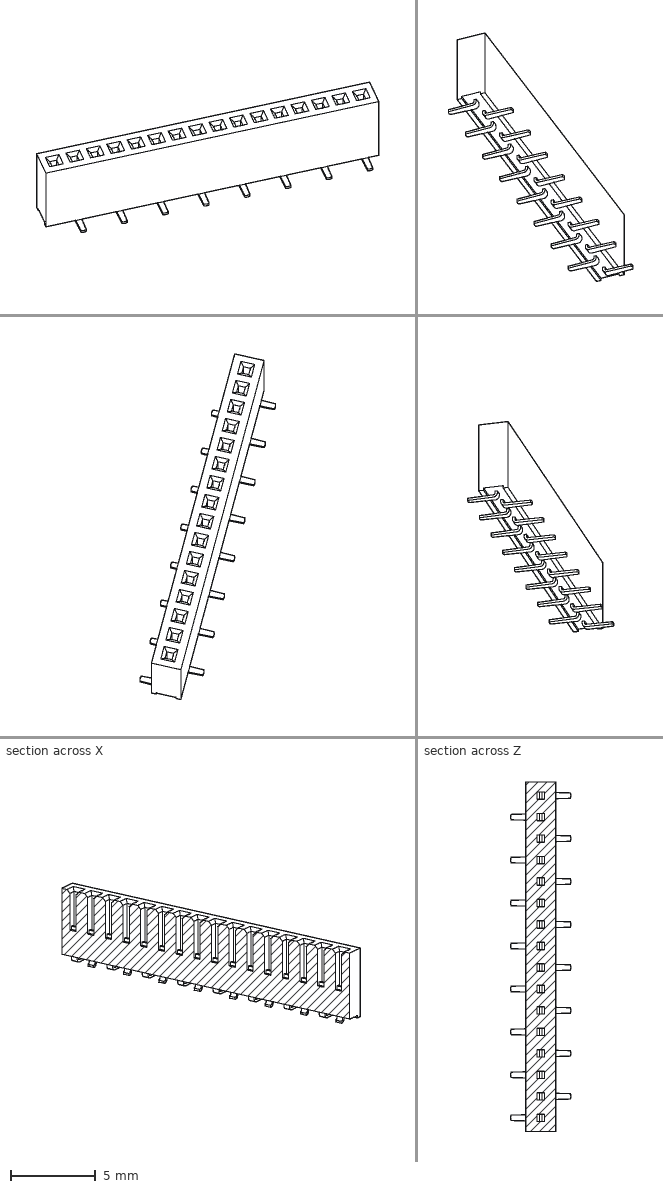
import cadquery as cq
import math

PITCH = 1.27
PIN_COUNT = 16
BODY_WIDTH = 1.8
BODY_LENGTH = 20.67
BODY_HEIGHT = 4.3
BODY_BOTTOM = 0.23

CHANNEL_WIDTH = 1.2
CHANNEL_DEPTH = 0.15

FUNNEL_MOUTH = 0.84
HOLE_SIZE = FUNNEL_MOUTH / 2
FUNNEL_DEPTH = (FUNNEL_MOUTH - HOLE_SIZE) / 2
SOCKET_DEPTH = 2.5

LEAD_SPAN = 3.58
CONTACT_THICKNESS = 0.15
POST_WIDTH = HOLE_SIZE
POST_RISE = 0.2
BEND_OUTER_RADIUS = 0.25
TIP_WIDTH = 0.335
TIP_RADIUS = TIP_WIDTH

BODY_TOP = BODY_BOTTOM + BODY_HEIGHT
SOCKET_FLOOR = BODY_TOP - SOCKET_DEPTH


def upright_box(width, length, height, bottom):
    """Box centred on the Z axis and standing on the height `bottom`."""
    base = cq.Workplane("XY", origin=(0, 0, bottom))
    return base.box(width, length, height, centered=(True, True, False))


def make_housing():
    body = upright_box(BODY_WIDTH, BODY_LENGTH, BODY_HEIGHT, BODY_BOTTOM)
    channel = upright_box(CHANNEL_WIDTH, BODY_LENGTH, CHANNEL_DEPTH, BODY_BOTTOM)
    return body.cut(channel)


def make_socket():
    """Void of one socket, centred on the Z axis."""
    funnel = (
        cq.Workplane("XY", origin=(0, 0, BODY_TOP))
        .rect(FUNNEL_MOUTH, FUNNEL_MOUTH)
        .workplane(offset=-FUNNEL_DEPTH)
        .rect(HOLE_SIZE, HOLE_SIZE)
        .loft(ruled=True)
    )
    hole = upright_box(HOLE_SIZE, HOLE_SIZE, SOCKET_DEPTH - FUNNEL_DEPTH, SOCKET_FLOOR)
    return funnel.union(hole)


def make_contact():
    """Contact with its post on the Z axis and its lead pointing along +X."""
    half_thickness = CONTACT_THICKNESS / 2
    half_post = POST_WIDTH / 2
    half_tip = TIP_WIDTH / 2
    tip = LEAD_SPAN / 2
    tip_corner = tip - TIP_RADIUS + math.sqrt(TIP_RADIUS**2 - half_tip**2)

    post = upright_box(CONTACT_THICKNESS, POST_WIDTH, SOCKET_FLOOR + POST_RISE, 0)
    lead = (
        cq.Workplane("XY")
        .moveTo(half_thickness, -half_post)
        .lineTo(tip_corner, -half_tip)
        .threePointArc((tip, 0), (tip_corner, half_tip))
        .lineTo(half_thickness, half_post)
        .close()
        .extrude(CONTACT_THICKNESS)
    )
    contact = post.union(lead)

    inside_of_bend = cq.selectors.NearestToPointSelector((half_thickness, 0, CONTACT_THICKNESS))
    contact = contact.edges(inside_of_bend).fillet(BEND_OUTER_RADIUS - CONTACT_THICKNESS)
    return contact.edges("|Y and <X and <Z").fillet(BEND_OUTER_RADIUS)


socket = make_socket()
right_contact = make_contact()
left_contact = right_contact.mirror("YZ")

result = make_housing()
for index in range(PIN_COUNT):
    place = (0, (index - (PIN_COUNT - 1) / 2) * PITCH, 0)
    contact = left_contact if index % 2 == 0 else right_contact
    result = result.cut(socket.translate(place)).union(contact.translate(place))